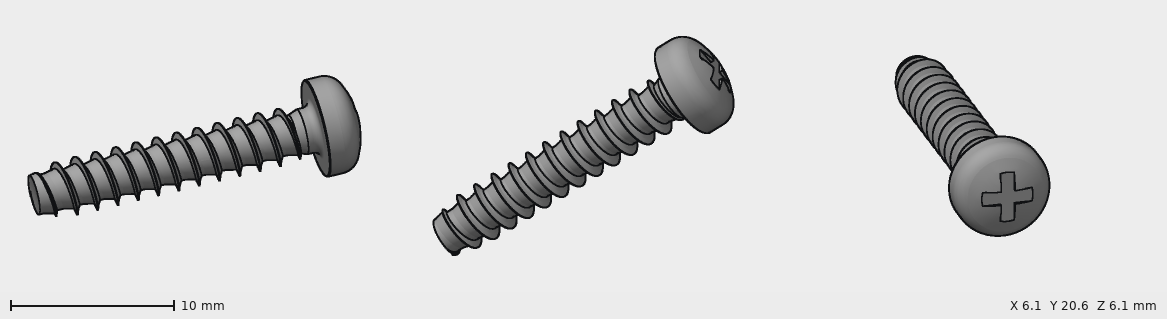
import cadquery as cq
import math


OVERALL_LENGTH = 20.63

HEAD_RADIUS = 3.05
RIM_HEIGHT = 1.01
RIM_CHAMFER = 0.06
SHOULDER_RADIUS = 1.2
CROWN_RADIUS = 5.05
SHOULDER_X = HEAD_RADIUS - SHOULDER_RADIUS
CROWN_ANGLE = math.asin(SHOULDER_X / (CROWN_RADIUS - SHOULDER_RADIUS))
CROWN_CENTRE = RIM_HEIGHT - SHOULDER_X / math.tan(CROWN_ANGLE)

RECESS_WIDTH = 0.89
RECESS_FLOOR = 2.41
INNER_CORNER_RADIUS = RECESS_WIDTH / math.sqrt(2)
HEAD_HEIGHT = CROWN_CENTRE + math.sqrt(CROWN_RADIUS**2 - INNER_CORNER_RADIUS**2)

SHANK_LENGTH = OVERALL_LENGTH - HEAD_HEIGHT
NECK_RADIUS = 1.42
NECK_FILLET = 0.47
NECK_LENGTH = 0.87
TAPER_LENGTH = 0.58
CORE_RADIUS = 1.2
TIP_HOLLOW_DEPTH = 0.08

PITCH = 1.3
CREST_RADIUS = 1.75
CREST_HEIGHT_AT_X = -2.79
LEAD_IN_START = 0.1
LEAD_IN_END = -2.17
LEAD_IN_SLOPE = 0.2
RUN_OUT_START = -16.13
RUN_OUT_END = -18.46
RUN_OUT_SLOPE = 0.28
STRETCH_TURNS = 2

CREST_HALF_WIDTH = 0.02
FLANK_KNEE = 0.15
FLANK_KNEE_RADIUS = 1.42
HEAD_FLANK_FOOT = 0.29
TIP_FLANK_FOOT = -0.12
ROOT_RADIUS = 1.35
ROOT_TAPER_END = -0.76
EMBED = 0.02
BURIED_RADIUS = 0.83

def make_blank():
    """Head, neck and core as one turned body."""

    def arc_point(centre_x, centre_z, radius, angle):
        """Point on an arc, with the angle measured from the screw axis."""
        return (centre_x + radius * math.sin(angle), centre_z + radius * math.cos(angle))

    shoulder_middle_angle = (CROWN_ANGLE + math.pi / 2) / 2
    shoulder_middle = arc_point(SHOULDER_X, RIM_HEIGHT, SHOULDER_RADIUS, shoulder_middle_angle)
    shoulder_end = arc_point(SHOULDER_X, RIM_HEIGHT, SHOULDER_RADIUS, CROWN_ANGLE)
    crown_middle = arc_point(0, CROWN_CENTRE, CROWN_RADIUS, CROWN_ANGLE / 2)
    crown_top = arc_point(0, CROWN_CENTRE, CROWN_RADIUS, 0)
    fillet_inset = NECK_FILLET * (1 - math.sqrt(0.5))
    return (
        cq.Workplane("XZ")
        .moveTo(0, -SHANK_LENGTH)
        .lineTo(CORE_RADIUS, -SHANK_LENGTH)
        .lineTo(CORE_RADIUS, -NECK_LENGTH - TAPER_LENGTH)
        .lineTo(NECK_RADIUS, -NECK_LENGTH)
        .lineTo(NECK_RADIUS, -NECK_FILLET)
        .threePointArc((NECK_RADIUS + fillet_inset, -fillet_inset), (NECK_RADIUS + NECK_FILLET, 0))
        .lineTo(HEAD_RADIUS - RIM_CHAMFER, 0)
        .lineTo(HEAD_RADIUS, RIM_CHAMFER)
        .lineTo(HEAD_RADIUS, RIM_HEIGHT)
        .threePointArc(shoulder_middle, shoulder_end)
        .threePointArc(crown_middle, crown_top)
        .close()
        .revolve(360, (0, 0), (0, 1))
    )


def make_recess():
    """Two crossed slots cut into the crown."""
    slot_length = 2 * HEAD_RADIUS
    floor = cq.Workplane("XY").workplane(offset=RECESS_FLOOR)
    slot = floor.rect(slot_length, RECESS_WIDTH).extrude(HEAD_HEIGHT)
    return slot.union(slot.rotate((0, 0, 0), (0, 0, 1), 90))


def make_tip_hollow():
    """Shallow cone that dishes the end of the shank."""
    cone = cq.Solid.makeCone(CORE_RADIUS, 0, TIP_HOLLOW_DEPTH)
    return cq.Workplane(cone).translate((0, 0, -SHANK_LENGTH))


def helix_edge(bottom, top, bottom_radius, top_radius, offset):
    """One cylindrical or conical helix, turned to match the height of the crest line."""
    height = top - bottom
    growth = top_radius - bottom_radius
    turn = 360 * (bottom - CREST_HEIGHT_AT_X) / PITCH
    if growth == 0:
        helix = cq.Wire.makeHelix(PITCH, height, bottom_radius)
    else:
        slant = math.hypot(1, growth / height)
        cone_angle = math.degrees(math.atan2(growth, height))
        helix = cq.Wire.makeHelix(PITCH * slant, height * slant, bottom_radius, angle=cone_angle)
    turned = helix.rotate(cq.Vector(0, 0, 0), cq.Vector(0, 0, 1), turn)
    return turned.translate(cq.Vector(0, 0, bottom + offset)).Edges()[0]


def thread_section(crest_radius):
    """Corners of the thread as (height, radius); a lower crest sinks the whole section into the core."""
    sink = CREST_RADIUS - crest_radius
    return [
        (HEAD_FLANK_FOOT, CORE_RADIUS - sink),
        (FLANK_KNEE, FLANK_KNEE_RADIUS - sink),
        (CREST_HALF_WIDTH, crest_radius),
        (-CREST_HALF_WIDTH, crest_radius),
        (TIP_FLANK_FOOT, ROOT_RADIUS - sink),
        (TIP_FLANK_FOOT, BURIED_RADIUS - sink),
        (HEAD_FLANK_FOOT, BURIED_RADIUS - sink),
    ]


def root_section():
    """Corners of the tapered root beside the thread as (height, radius)."""
    slope = (ROOT_RADIUS - CORE_RADIUS) / (TIP_FLANK_FOOT - ROOT_TAPER_END)
    ridge_start = TIP_FLANK_FOOT / 2
    return [
        (ridge_start, ROOT_RADIUS + slope * (ridge_start - TIP_FLANK_FOOT)),
        (ROOT_TAPER_END - EMBED / slope, CORE_RADIUS - EMBED),
        (ROOT_TAPER_END, BURIED_RADIUS),
        (ridge_start, BURIED_RADIUS),
    ]


def end_cap(edges, position):
    """Flat face across the ridge at one end (0 or 1) of its edges."""
    corners = [edge.positionAt(position) for edge in edges]
    return cq.Face.makeFromWires(cq.Wire.makePolygon(corners, close=True))


def helical_ridge(heights, sections):
    """Solid ridge through the given sections, one at each height, listed from the tip upward."""
    faces = []
    for i in range(len(heights) - 1):
        edges = [
            helix_edge(heights[i], heights[i + 1], low_radius, high_radius, offset)
            for (offset, low_radius), (_, high_radius) in zip(sections[i], sections[i + 1])
        ]
        faces += [cq.Face.makeRuledSurface(edge, edges[k - 1]) for k, edge in enumerate(edges)]
        if i == 0:
            faces.append(end_cap(edges, 0))
    faces.append(end_cap(edges, 1))
    return cq.Workplane(cq.Solid.makeSolid(cq.Shell.makeShell(faces)))


def crest_radius_at(height):
    """Crest radius, which fades at the lead-in and the run-out."""
    lead_in_drop = LEAD_IN_SLOPE * max(0, height - LEAD_IN_END)
    run_out_drop = RUN_OUT_SLOPE * max(0, RUN_OUT_START - height)
    return CREST_RADIUS - lead_in_drop - run_out_drop


def ridge_heights():
    """Heights from the run-out to the lead-in, at most STRETCH_TURNS turns apart."""
    stops = [RUN_OUT_END, RUN_OUT_START, LEAD_IN_END, LEAD_IN_START]
    heights = [RUN_OUT_END]
    for bottom, top in zip(stops, stops[1:]):
        count = math.ceil((top - bottom) / (STRETCH_TURNS * PITCH))
        heights += [bottom + (top - bottom) * (i + 1) / count for i in range(count)]
    return heights


def make_threaded_zone():
    """Bounding cylinder from the tip to the neck that trims both ridges."""
    zone_length = SHANK_LENGTH - NECK_LENGTH
    return cq.Workplane("XY").workplane(offset=-SHANK_LENGTH).circle(HEAD_RADIUS).extrude(zone_length)


heights = ridge_heights()
thread = helical_ridge(heights, [thread_section(crest_radius_at(height)) for height in heights])
root = helical_ridge(heights, [root_section() for _ in heights])
threaded_zone = make_threaded_zone()

screw = make_blank().union(threaded_zone.intersect(root)).union(threaded_zone.intersect(thread))
screw = screw.cut(make_recess()).cut(make_tip_hollow())
result = screw.rotate((0, 0, 0), (1, 0, 0), -90)